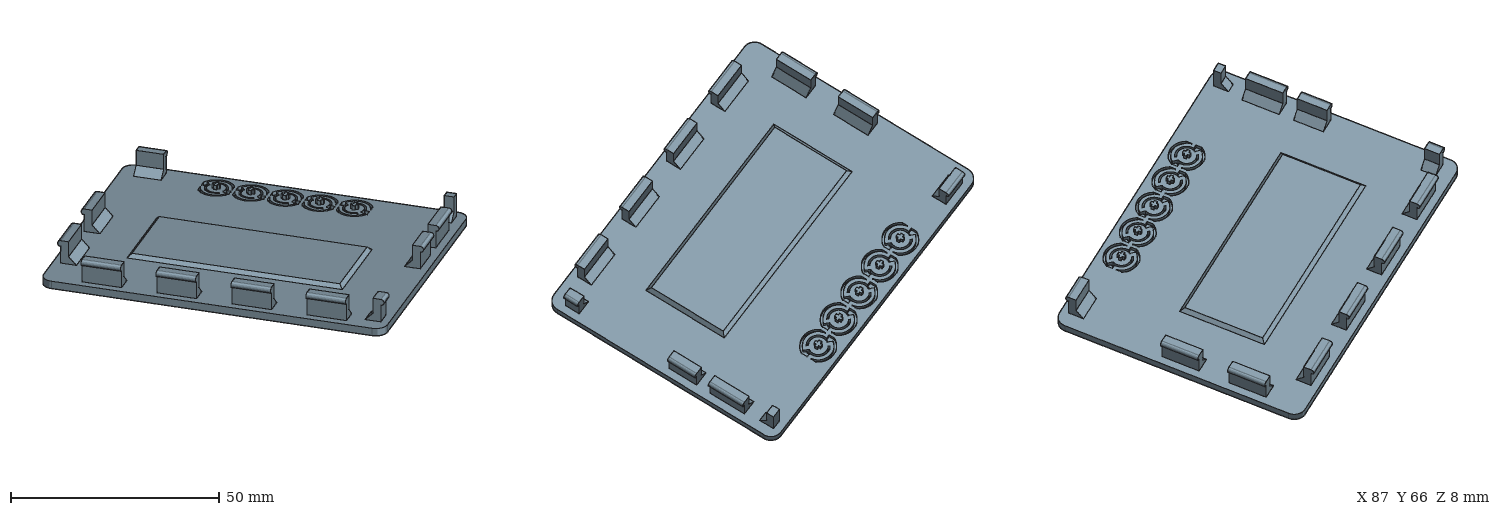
import cadquery as cq
import math

plate_length = 87.0
plate_width = 66.0
plate_thickness = 2.0
corner_radius = 3.0
total_height = 8.0

clip_height = total_height - plate_thickness
clip_wall = 2.0
clip_setback = 2.0
gusset_size = 2.0
lip_radius = 0.8
standard_clip = 10.0
front_clip_count = 4
front_clip_pitch = 19.0
side_clip_offset = 18.0
right_middle_clip = (5.1, 8.0)
right_front_clip = (-27.1, 4.0)
back_left_clip = (-36.1, 7.0)
back_right_clip = (39.6, 2.5)

panel_length = 54.5
panel_width = 22.8
panel_height = 1.0
panel_center_y = -4.0
panel_bevel_angle = 45

button_count = 5
button_row_length = 35.0
button_pitch = button_row_length / (button_count - 1)
button_row_x = -1.2
button_row_y = 27.2
button_diameter = 4.8
slot_width = 0.5
groove_inner_radius = 3.8
groove_outer_radius = 4.4
groove_half_width = 3.9
groove_depth = 1.0
root_half_width = 0.5
bridge_width = 1.1
bridge_angle = 135.0
pin_span = 1.9
pin_rib = 0.8
pin_height = 1.1


def make_plate():
    plate = cq.Workplane("XY").box(plate_length, plate_width, plate_thickness, centered=(True, True, False))
    return plate.edges("|Z").fillet(corner_radius)


def make_panel():
    return (
        cq.Workplane("XY", origin=(0, panel_center_y, plate_thickness))
        .rect(panel_length, panel_width)
        .extrude(panel_height, taper=panel_bevel_angle)
    )


def make_clip(outward, along, length, has_lip=True):
    """Clip on the edge facing the unit vector `outward`, centred at `along` on that edge."""
    out_x, out_y = outward
    reach = abs(out_x) * plate_length / 2 + abs(out_y) * plate_width / 2 - clip_setback
    origin = (out_x * reach + abs(out_y) * along, out_y * reach + abs(out_x) * along, plate_thickness)
    section = cq.Plane(origin=origin, xDir=(out_x, out_y, 0), normal=(out_y, -out_x, 0))
    profile = (
        cq.Workplane(section)
        .lineTo(-clip_wall - gusset_size, 0)
        .lineTo(-clip_wall, gusset_size)
        .lineTo(-clip_wall, clip_height)
        .lineTo(0, clip_height)
    )
    if has_lip:
        profile = profile.threePointArc(
            (lip_radius, clip_height - lip_radius),
            (0, clip_height - 2 * lip_radius),
        )
    return profile.close().extrude(length / 2, both=True)


def make_clips():
    left, right, front, back = (-1, 0), (1, 0), (0, -1), (0, 1)
    clips = [
        make_clip(left, 0, standard_clip),
        make_clip(left, -side_clip_offset, standard_clip),
        make_clip(right, side_clip_offset, standard_clip),
        make_clip(right, *right_middle_clip),
        make_clip(right, *right_front_clip),
        make_clip(back, *back_left_clip),
        make_clip(back, *back_right_clip, has_lip=False),
    ]
    for i in range(front_clip_count):
        along = (i - (front_clip_count - 1) / 2) * front_clip_pitch
        clips.append(make_clip(front, along, standard_clip))
    return clips


def ring(inner_radius, outer_radius, height):
    return cq.Workplane("XY").circle(outer_radius).circle(inner_radius).extrude(height)


def make_slot():
    """Through slot around one button, interrupted by two opposite bridges."""
    button_radius = button_diameter / 2
    bridges = (
        cq.Workplane("XY")
        .rect(2 * groove_outer_radius, bridge_width)
        .extrude(plate_thickness)
        .rotate((0, 0, 0), (0, 0, 1), bridge_angle)
    )
    return ring(button_radius, button_radius + slot_width, plate_thickness).cut(bridges)


def make_groove():
    """Blind groove that outlines the two spring arms of one button."""
    slot_radius = button_diameter / 2 + slot_width
    bridge_shift = bridge_width / 2 * math.sqrt(2)
    reach = 2 * groove_outer_radius
    wedge = (
        cq.Workplane("XY")
        .moveTo(-root_half_width - bridge_shift, root_half_width)
        .lineTo(-reach, root_half_width)
        .lineTo(-reach, reach - bridge_shift)
        .close()
        .extrude(groove_depth)
    )
    wedges = wedge.union(wedge.rotate((0, 0, 0), (0, 0, 1), 180))
    openings = ring(slot_radius, groove_outer_radius, groove_depth).intersect(wedges)
    roots = cq.Workplane("XY").rect(reach, 2 * root_half_width).extrude(groove_depth)
    flats = cq.Workplane("XY").rect(2 * groove_half_width, reach).extrude(groove_depth)
    groove = ring(groove_inner_radius, groove_outer_radius, groove_depth).cut(roots)
    groove = groove.union(openings).intersect(flats)
    return groove.translate((0, 0, plate_thickness - groove_depth))


def make_pin():
    """Cross-shaped pin standing on the middle of a button."""
    base = cq.Workplane("XY", origin=(0, 0, plate_thickness))
    rib = base.rect(pin_span, pin_rib).extrude(pin_height)
    return rib.union(base.rect(pin_rib, pin_span).extrude(pin_height))


result = make_plate().union(make_panel())
for clip in make_clips():
    result = result.union(clip)

button_cut = make_slot().union(make_groove())
button_pin = make_pin()
for i in range(button_count):
    x = button_row_x + (i - (button_count - 1) / 2) * button_pitch
    place = (x, button_row_y, 0)
    result = result.cut(button_cut.translate(place)).union(button_pin.translate(place))